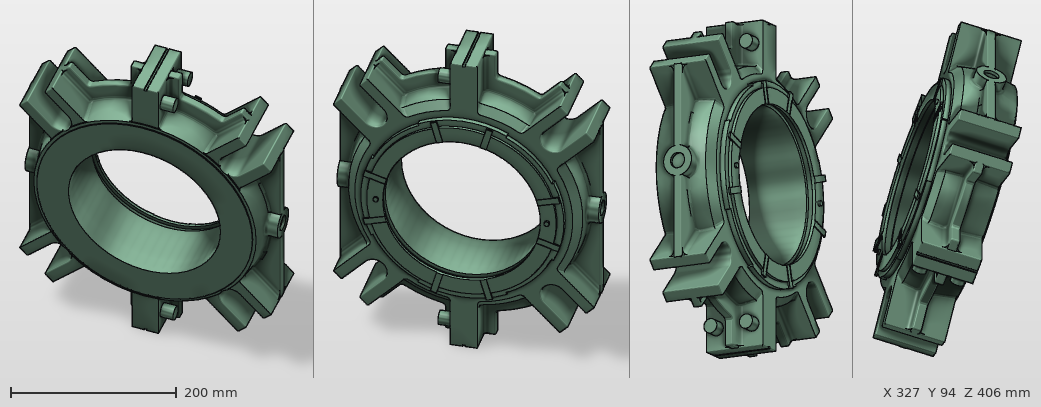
import cadquery as cq
import math

lug_top = 203.0
side_face = 163.5
half_depth = 38.5

bore_radius = 98.5
groove_radius = 103.0
groove_start_y = 37.0
lip_radius = 144.0
lip_y = -40.0
middle_radius = 150.8
shoulder_radius = 146.3
shoulder_y = 29.3
rear_radius = 136.0
front_disc_radius = 139.6
front_face_y = -41.5
barrel_sections = [
    (lip_y, lip_radius),
    (0, middle_radius),
    (shoulder_y, shoulder_radius),
    (half_depth, rear_radius),
]

collar_radius = 126.8
collar_relief_radius = 124.5
collar_half_angle = 26.0
collar_y = 45.5
cover_radius = 118.3
cover_y = 49.5
clip_angle = 16.0
clip_half_width = 4.0
clip_start_y = 48.5
clip_end_y = 50.5
pin_radius = 3.3
pin_x = 107.0
left_pin_y = 52.5
right_pin_y = 51.5

web_half_thickness = 5.5
web_radius = 170.5
web_edge_round = 2.0
web_inner_corner = 5.0
web_outer_corner = 2.5
rib_offset = 43.0

lug_half_width = 17.0
lug_web_half_width = 31.5
lug_web_top = 202.0
split_half_width = 1.5
split_depth = 2.5

arm_outer_offset = 30.5
arm_tip = side_face * math.sqrt(2) - arm_outer_offset
slot_half_width = 15.65
slot_bottom = 142.2
slot_end_centre = slot_bottom + slot_half_width

boss_radius = 19.0
boss_recess_radius = 9.55
boss_recess_depth = 4.0

bolt_radius = 9.0
bolt_end_x = 33.7
bolt_y = 24.5
bolt_z = 174.7

plate_edge_round = 1.5
cove_radius = 6.5
cove_overlap = 2.0
cove_start = 122.0
barrel_fillet = 4.0
tolerance = 0.1


def block(x, y0, y1, z0, z1):
    """Block spanning -x to x, y0 to y1 and z0 to z1."""
    return cq.Workplane("XY").box(2 * x, y1 - y0, z1 - z0, centered=(True, False, False)).translate((0, y0, z0))


def disc(radius, y0, y1):
    """Disc on the ring axis from y0 to y1."""
    return cq.Workplane("XZ", origin=(0, y0, 0)).circle(radius).extrude(y0 - y1)


def turn(solid, angle):
    """Rotate a solid about the ring axis."""
    return solid.rotate((0, 0, 0), (0, 1, 0), angle)


def diagonals(solid):
    """Copies of a solid built along +Z, turned onto the four diagonals."""
    return [turn(solid, angle) for angle in (45, 135, 225, 315)]


def join(solid, parts):
    """Union of a solid with every part of a list."""
    for part in parts:
        solid = solid.union(part)
    return solid


def axis_distance(point):
    return math.hypot(point.x, point.z)


def make_barrel():
    profile = [(radius, y) for y, radius in barrel_sections]
    outline = [(0, lip_y)] + profile + [(0, half_depth)]
    barrel = cq.Workplane("XY").polyline(outline).close().revolve(360, (0, 0, 0), (0, 1, 0))
    return barrel


def barrel_radius(y):
    """Outer radius of the barrel at a place along the ring axis."""
    for (y0, r0), (y1, r1) in zip(barrel_sections, barrel_sections[1:]):
        if y <= y1:
            return r0 + (r1 - r0) * (y - y0) / (y1 - y0)
    return rear_radius


def make_web():
    """Middle web: ring, lug webs, ribs beside the arms and flat-sided side panels."""
    t = web_half_thickness
    web = disc(web_radius, -t, t)
    web = web.union(block(lug_web_half_width, -t, t, -lug_web_top, lug_web_top))
    web = join(web, diagonals(block(rib_offset, -t, t, 0, arm_tip)))
    panel_top = arm_tip * math.sqrt(2) - side_face
    web = web.union(block(side_face, -t, t, -panel_top, panel_top))
    web = web.intersect(block(side_face, -t, t, -lug_top, lug_top))

    def corners_at(distance):
        corners = web.edges("|Y").vals()
        return web.newObject([e for e in corners if abs(axis_distance(e.Center()) - distance) < tolerance])

    web = corners_at(web_radius).fillet(web_inner_corner)
    web = corners_at(math.hypot(lug_web_half_width, lug_web_top)).fillet(web_outer_corner)
    web = corners_at(math.hypot(rib_offset, arm_tip)).fillet(web_outer_corner)
    return web.edges("not |Y").fillet(web_edge_round)


def make_plates():
    """Lugs and arms as full-depth plates with rounded outer edges."""
    y = half_depth
    plates = block(lug_half_width, -y, y, -lug_top, lug_top)
    plates = join(plates, diagonals(block(arm_outer_offset, -y, y, 0, arm_tip)))
    outer_edges = [e for e in plates.edges().vals() if axis_distance(e.Center()) > shoulder_radius]
    return plates.newObject(outer_edges).fillet(plate_edge_round)


def make_coves(plate_offset, top):
    """Concave fillets along +Z where the web meets both faces of a plate."""
    t = web_half_thickness
    r = cove_radius
    bend = r * (1 - math.sqrt(0.5))
    cove = (
        cq.Workplane("XY", origin=(0, 0, cove_start))
        .moveTo(plate_offset - cove_overlap, t - cove_overlap)
        .lineTo(plate_offset + r, t - cove_overlap)
        .lineTo(plate_offset + r, t)
        .threePointArc((plate_offset + bend, t + bend), (plate_offset, t + r))
        .lineTo(plate_offset - cove_overlap, t + r)
        .close()
        .extrude(top - cove_start)
    )
    pair = cove.union(cove.mirror("YZ"))
    return pair.union(pair.mirror("XZ"))


def make_frame():
    """Web, plates, coves and side bosses outside the barrel."""
    frame = make_web().union(make_plates())
    lug_coves = make_coves(lug_half_width, lug_web_top - web_edge_round)
    frame = join(frame, [turn(lug_coves, angle) for angle in (0, 180)])
    cove_limit = block(side_face - plate_edge_round, -half_depth, half_depth, -lug_top, lug_top)
    arm_coves = make_coves(arm_outer_offset, arm_tip - web_edge_round)
    frame = join(frame, [coves.intersect(cove_limit) for coves in diagonals(arm_coves)])
    bosses = cq.Workplane("YZ").circle(boss_radius).extrude(side_face, both=True)
    return frame.union(bosses)


def fillet_barrel_joins(body):
    """Fillet every edge where the frame meets the outside of the barrel."""

    def is_join(edge):
        middle = edge.positionAt(0.5)
        on_barrel = abs(axis_distance(middle) - barrel_radius(middle.y)) < tolerance
        at_end = middle.y < -half_depth + tolerance or middle.y > half_depth - tolerance
        on_shoulder = abs(edge.Center().y - shoulder_y) < tolerance
        return on_barrel and not at_end and not on_shoulder and edge.geomType() != "LINE"

    return body.newObject([e for e in body.edges().vals() if is_join(e)]).fillet(barrel_fillet)


def cut_slots(body):
    slot = block(slot_half_width, -lug_top, lug_top, slot_end_centre, 2 * lug_top)
    slot_end = cq.Workplane("XZ", origin=(0, lug_top, slot_end_centre)).circle(slot_half_width).extrude(2 * lug_top)
    for cutter in diagonals(slot.union(slot_end)):
        body = body.cut(cutter)

    def is_slot_edge(edge):
        middle = edge.Center()
        offset = abs(abs(middle.x) - abs(middle.z)) / math.sqrt(2)
        on_end_face = abs(abs(middle.y) - half_depth) < tolerance
        return edge.geomType() == "LINE" and on_end_face and abs(offset - slot_half_width) < tolerance

    return body.newObject([e for e in body.edges().vals() if is_slot_edge(e)]).fillet(plate_edge_round)


def cut_lug_splits(body):
    """Shallow parting groove across the outer end of each lug."""
    groove = block(split_half_width, -half_depth, half_depth, lug_top - split_depth, lug_top)
    return body.cut(groove).cut(turn(groove, 180))


def cut_boss_recesses(body):
    recess = cq.Workplane("YZ", origin=(side_face, 0, 0)).circle(boss_recess_radius).extrude(-boss_recess_depth)
    return body.cut(recess).cut(recess.mirror("YZ"))


def make_bolts():
    places = [(y, z) for y in (-bolt_y, bolt_y) for z in (-bolt_z, bolt_z)]
    return cq.Workplane("YZ").pushPoints(places).circle(bolt_radius).extrude(bolt_end_x)


def make_collar():
    """Rear collar, slightly larger in the four sectors centred on the X and Z axes."""
    collar = disc(collar_relief_radius, half_depth, collar_y)
    reach = 2 * collar_radius
    half_chord = reach * math.tan(math.radians(collar_half_angle))
    wedge = cq.Workplane("XZ", origin=(0, half_depth, 0))
    wedge = wedge.polyline([(0, 0), (half_chord, reach), (-half_chord, reach)]).close().extrude(half_depth - collar_y)
    sector = wedge.intersect(disc(collar_radius, half_depth, collar_y))
    return join(collar, [turn(sector, angle) for angle in (0, 90, 180, 270)])


def make_cover():
    """Rear cover disc with its clips and pins."""
    cover = disc(cover_radius, collar_y, cover_y)
    clip = block(clip_half_width, clip_start_y, clip_end_y, 0, collar_radius)
    for axis_angle in (0, 90, 180, 270):
        for side in (-1, 1):
            cover = cover.union(turn(clip, axis_angle + side * clip_angle))
    for x, end_y in ((-pin_x, left_pin_y), (pin_x, right_pin_y)):
        cover = cover.union(disc(pin_radius, collar_y, end_y).translate((x, 0, 0)))
    return cover


def cut_bore(body):
    body = body.cut(disc(bore_radius, front_face_y, clip_end_y))
    return body.cut(disc(groove_radius, groove_start_y, collar_y))


result = fillet_barrel_joins(make_barrel().union(make_frame()))
result = cut_slots(result)
result = cut_lug_splits(result)
result = cut_boss_recesses(result)
front_disc = disc(front_disc_radius, front_face_y, lip_y)
result = join(result, [front_disc, make_bolts(), make_collar(), make_cover()])
result = cut_bore(result)